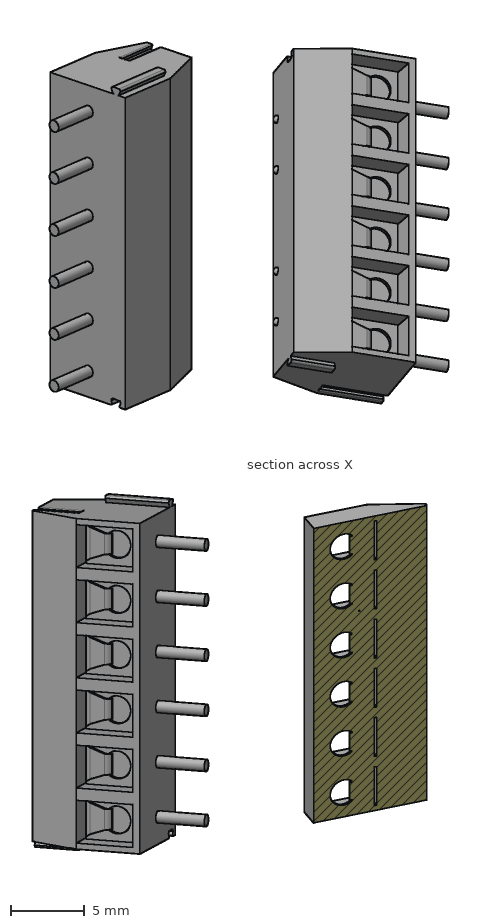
import cadquery as cq
import math


way_count = 6
total_length = 23.85
rail_height = 0.5
body_length = total_length - 2 * rail_height
pitch = body_length / way_count
body_width = 6.8
body_depth = 8.3
shoulder_y = 4.6
back_left_inset = 1.4
back_right_inset = 1.35
left_x = -body_width / 2
right_x = body_width / 2
top_z = body_length / 2
way_z = [(i - (way_count - 1) / 2) * pitch for i in range(way_count)]

pin_diameter = 0.84
pin_length = 3.5
pin_x = 0.07

rail_width = 0.84
rail_neck_width = 0.48
rail_corner_radius = 0.17
groove_neck_width = 0.57
groove_mouth_width = 0.95
groove_mouth_radius = (groove_mouth_width - groove_neck_width) / 2
front_joint_x = 2.55
front_rail_length = shoulder_y
back_joint_x = -1.17
back_rail_length = 3.15
joint_clearance = 0.07

pocket_height = 2.95
pocket_depth = 1.8
pocket_mouth_low_y = 0.52
pocket_floor_low_y = 0.75
pocket_high_y = shoulder_y

terminal_depth = 1.53
terminal_y = (pocket_floor_low_y, 4.45)
wire_hole_radius = 0.95
wire_hole_y = 2.2

leaf_depth = 1.31
leaf_root_radius = 0.38
leaf_end_radius = 0.5
leaf_flat_y = (3.08, 4.1)
leaf_end_y = 2.62
leaf_wide_half = 1.31
leaf_flat_wide_half = 1.1
leaf_flat_narrow_half = 0.75
leaf_end_half = 0.7

pip_height = 0.25
pip_radius = 0.29
pip_x = 1.31
pip_z = [-2 * pitch, -pitch, pitch, 2 * pitch]


def make_body():
    outline = [
        (left_x, 0),
        (right_x, 0),
        (right_x, shoulder_y),
        (right_x - back_right_inset, body_depth),
        (left_x + back_left_inset, body_depth),
        (left_x, shoulder_y),
    ]
    return cq.Workplane("XY", origin=(0, 0, -top_z)).polyline(outline).close().extrude(body_length)


def make_pin(z):
    start = (pin_x, -pin_length, z)
    return cq.Workplane("XZ", origin=start).circle(pin_diameter / 2).extrude(-pin_length)


def make_pip(z):
    centre = (pip_x, body_depth + pip_height - pip_radius, z)
    return cq.Workplane("XY", origin=centre).sphere(pip_radius)


def joint_plane(x, y, face_z, direction):
    """Plane at the -Y end of a joint: local y runs along +Z or -Z (direction 1 or -1), normal +Y."""
    x_dir = (-direction, 0, 0)
    return cq.Plane(origin=(x, y, face_z), xDir=x_dir, normal=(0, 1, 0))


def draw_bulb(plane, neck_width):
    """Dovetail bulb standing on the plane's x axis: neck at the base, rounded corners on top."""
    neck = neck_width / 2
    side = rail_width / 2
    shoulder = rail_height - rail_corner_radius
    diagonal = rail_corner_radius * math.sqrt(0.5)
    corner = side - rail_corner_radius
    return (
        cq.Workplane(plane)
        .moveTo(-neck, 0)
        .lineTo(-side, shoulder)
        .threePointArc((-corner - diagonal, shoulder + diagonal), (-corner, rail_height))
        .lineTo(corner, rail_height)
        .threePointArc((corner + diagonal, shoulder + diagonal), (side, shoulder))
        .lineTo(neck, 0)
        .close()
    )


def make_rail(x, y, face_z, direction, length):
    return draw_bulb(joint_plane(x, y, face_z, direction), rail_neck_width).extrude(length)


def make_groove(x, y, face_z, direction, length):
    """Groove cutter: a bulb whose mouth flares out to the face with a rounded lip."""
    plane = joint_plane(x, y, face_z, direction)
    neck = groove_neck_width / 2
    mouth = groove_mouth_width / 2
    reach = groove_mouth_radius * (1 - math.sqrt(0.5))
    flare = (
        cq.Workplane(plane)
        .moveTo(-mouth, 0)
        .threePointArc((-neck - reach, reach), (-neck, groove_mouth_radius))
        .lineTo(neck, groove_mouth_radius)
        .threePointArc((neck + reach, reach), (mouth, 0))
        .close()
        .extrude(length)
    )
    return draw_bulb(plane, groove_neck_width).extrude(length).union(flare)


def bend_drop(radius, span):
    """Drop of an arc of the given radius at a distance span from its crest."""
    return radius - math.sqrt(radius**2 - span**2)


def make_leaf(z):
    """Side profile bent down at both ends, trimmed to the tapered leaf outline."""
    base_x = left_x + pocket_depth
    crest_x = left_x + leaf_depth
    narrow_y, wide_y = leaf_flat_y
    root_y = terminal_y[1]
    root_span = root_y - wide_y
    end_span = narrow_y - leaf_end_y
    root_middle = (crest_x + bend_drop(leaf_root_radius, root_span / 2), wide_y + root_span / 2)
    end_middle = (crest_x + bend_drop(leaf_end_radius, end_span / 2), narrow_y - end_span / 2)
    profile = (
        cq.Workplane("XY", origin=(0, 0, z))
        .moveTo(base_x, root_y)
        .lineTo(crest_x + bend_drop(leaf_root_radius, root_span), root_y)
        .threePointArc(root_middle, (crest_x, wide_y))
        .lineTo(crest_x, narrow_y)
        .threePointArc(end_middle, (crest_x + bend_drop(leaf_end_radius, end_span), leaf_end_y))
        .lineTo(base_x, leaf_end_y)
        .close()
        .extrude(leaf_wide_half, both=True)
    )
    half_outline = [
        (root_y, leaf_wide_half),
        (wide_y, leaf_flat_wide_half),
        (narrow_y, leaf_flat_narrow_half),
        (leaf_end_y, leaf_end_half),
    ]
    outline = half_outline + [(y, -half) for y, half in reversed(half_outline)]
    taper = cq.Workplane("YZ", origin=(left_x, 0, z)).polyline(outline).close().extrude(body_width)
    return profile.intersect(taper)


def make_terminal(z):
    """Plate with a wire hole and the clamp leaf reaching down into it."""
    low_y, high_y = terminal_y
    centre = (left_x + terminal_depth, (low_y + high_y) / 2, z)
    plate = (
        cq.Workplane("YZ", origin=centre)
        .rect(high_y - low_y, pocket_height)
        .extrude(pocket_depth - terminal_depth)
    )
    hole = (
        cq.Workplane("YZ", origin=(left_x, wire_hole_y, z))
        .circle(wire_hole_radius)
        .extrude(pocket_depth)
    )
    return plate.cut(hole).union(make_leaf(z))


def make_pocket(z):
    """Pocket cutter, with a sloped wall at the pin end, that leaves the terminal standing."""
    floor_x = left_x + pocket_depth
    section = [
        (left_x, pocket_mouth_low_y),
        (floor_x, pocket_floor_low_y),
        (floor_x, pocket_high_y),
        (left_x, pocket_high_y),
    ]
    bottom = (0, 0, z - pocket_height / 2)
    recess = cq.Workplane("XY", origin=bottom).polyline(section).close().extrude(pocket_height)
    return recess.cut(make_terminal(z))


result = make_body()
for z in way_z:
    result = result.cut(make_pocket(z)).union(make_pin(z))
for z in pip_z:
    result = result.union(make_pip(z))

result = result.union(make_rail(front_joint_x, 0, top_z, 1, front_rail_length))
result = result.cut(make_groove(front_joint_x, 0, -top_z, 1, front_rail_length + joint_clearance))

back_groove_length = back_rail_length + joint_clearance
back_rail_y = body_depth - back_rail_length
back_groove_y = body_depth - back_groove_length
result = result.union(make_rail(back_joint_x, back_rail_y, -top_z, -1, back_rail_length))
result = result.cut(make_groove(back_joint_x, back_groove_y, top_z, -1, back_groove_length))